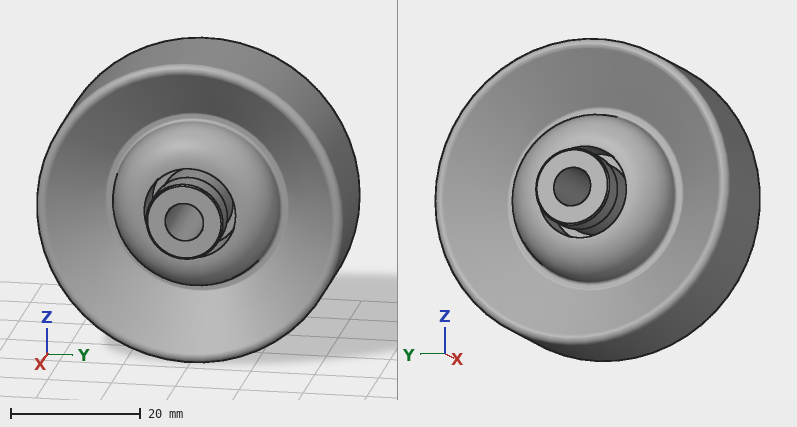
import cadquery as cq
import math

hub_width = 24.0
rim_width = hub_width * 2 / 3
web_thickness = hub_width / 12
rim_radius = 24.0
hub_radius = rim_radius / 4
bore_radius = hub_radius / 2
hub_chamfer = 0.25

neck_radius = 5.6
neck_length = rim_width

dome_width = 14.4
dome_crest_radius = 7.5
dome_round = 5.5
dome_draft = math.radians(5)
dome_foot_round = 0.5
groove_mouth_radius = 7.15
groove_floor_radius = 7.0

dish_floor_radius = 14.25
dish_mouth_radius = 22.65
dish_floor_round = 0.5
rim_outer_round = 1.0
rim_inner_round = 0.9

AXIS_START = (0, 0, 0)
AXIS_END = (1, 0, 0)


def disc(radius, width):
    """Disc about the X axis, centred on the origin."""
    return cq.Workplane("YZ", origin=(-width / 2, 0, 0)).circle(radius).extrude(width)


def round_circles(body, radius, round_radius):
    """Fillet every circular edge of the given radius."""
    circles = body.edges("%CIRCLE").filter(lambda edge: math.isclose(edge.radius(), radius))
    return circles.fillet(round_radius)


def make_dish():
    """Solid cone frustum that hollows the +X side of the rim."""
    floor = web_thickness / 2
    mouth = rim_width / 2
    outline = (
        cq.Workplane("XY")
        .moveTo(floor, 0)
        .lineTo(floor, dish_floor_radius)
        .lineTo(mouth, dish_mouth_radius)
        .lineTo(mouth, 0)
        .close()
    )
    return outline.revolve(360, AXIS_START, AXIS_END)


def make_rim():
    """Tread and web, dished on both sides, with the tread corners rounded."""
    dish = make_dish()
    rim = disc(rim_radius, rim_width).cut(dish).cut(dish.mirror("YZ"))
    rim = round_circles(rim, dish_floor_radius, dish_floor_round)
    rim = round_circles(rim, dish_mouth_radius, rim_inner_round)
    return round_circles(rim, rim_radius, rim_outer_round)


def make_dome():
    """Ring that bulges toward +X, with drafted walls and a flared foot on the web."""
    floor = web_thickness / 2
    top = dome_width / 2
    slope_sin = math.sin(dome_draft)
    slope_cos = math.cos(dome_draft)

    wall_top = top - dome_round * (1 - slope_sin)
    wall_top_radius = dome_crest_radius + dome_round * slope_cos
    wall_foot = floor + dome_foot_round * (1 - slope_sin)
    wall_foot_radius = wall_top_radius + (wall_top - wall_foot) * math.tan(dome_draft)
    foot_radius = wall_foot_radius + dome_foot_round * slope_cos

    outline = (
        cq.Workplane("XY")
        .moveTo(0, groove_floor_radius)
        .lineTo(floor, groove_floor_radius)
        .lineTo(top, groove_mouth_radius)
        .lineTo(top, dome_crest_radius)
        .radiusArc((wall_top, wall_top_radius), -dome_round)
        .lineTo(wall_foot, wall_foot_radius)
        .radiusArc((floor, foot_radius), dome_foot_round)
        .lineTo(0, foot_radius)
        .close()
    )
    return outline.revolve(360, AXIS_START, AXIS_END)


def make_hub():
    """Bored hub with chamfered ends and a slimmer neck between its two end collars."""
    hub = disc(hub_radius, hub_width).faces("<X or >X").chamfer(hub_chamfer)
    neck_clearance = disc(hub_radius, neck_length).cut(disc(neck_radius, neck_length))
    return hub.cut(neck_clearance)


dome = make_dome()
wheel = make_rim().union(dome).union(dome.mirror("YZ"))
bore = disc(bore_radius, hub_width)
result = wheel.union(make_hub()).cut(bore)